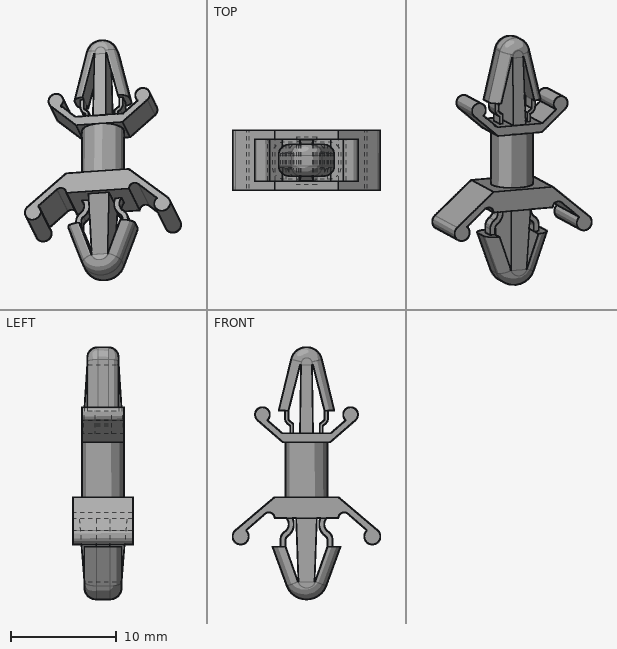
import cadquery as cq
import math


PILLAR_DIAMETER = 4.0
PILLAR_HEIGHT = 5.18
WING_ANGLE = 41.0

CLIP_THICKNESS = 0.86
CLIP_WIDTH = PILLAR_DIAMETER
CLIP_BEAD_RADIUS = 0.71
CLIP_BEAD_X = 4.17
CLIP_BEAD_Z = 7.8
CLIP_ARM_THICKNESS = 0.62
CLIP_TOP = PILLAR_HEIGHT + CLIP_THICKNESS

BASE_THICKNESS = 2.0
BASE_WIDTH = 5.7
BASE_HALF_LENGTH = 3.02
BASE_SPAN = 14.0
BASE_BEAD_RADIUS = 0.77
BASE_BEAD_X = BASE_SPAN / 2 - BASE_BEAD_RADIUS
BASE_BEAD_Z = -3.73
BASE_NOTCH_RADIUS = 0.54

UPPER_HEAD = dict(
    tip=14.2, dome_radius=1.5, depth=3.0, edge_radius=1.0,
    barb_base=8.19, barb_half_width=2.64,
    gap_base_half_width=1.69, gap_top_half_width=0.6, gap_top=12.52,
    blade_root=CLIP_TOP, blade_root_size=(1.26, 3.84), blade_top_size=(1.06, 3.0),
)
LOWER_HEAD = dict(
    tip=9.7, dome_radius=2.0, depth=3.54, edge_radius=1.12,
    barb_base=4.68, barb_half_width=3.23,
    gap_base_half_width=1.98, gap_top_half_width=0.8, gap_top=8.01,
    blade_root=BASE_THICKNESS, blade_root_size=(1.98, 4.5), blade_top_size=(1.54, 3.54),
)

UPPER_LEG_WIDTH = 1.6
UPPER_LEG_OUTER_X = 2.05
UPPER_LEG_FOOT_OUTER_X = 1.55
UPPER_LEG_FOOT_INNER_X = 1.25
UPPER_KNEE_INNER = (7.3, 6.93)
UPPER_KNEE_OUTER_START = 7.5
UPPER_KNEE_OUTER_RADIUS = 0.78
UPPER_KNEE_TURN = 48.0
UPPER_KNEE_OUTER_END = 6.74

LOWER_LEG_WIDTH = 1.3
LOWER_LEG_THICKNESS = 0.5
LOWER_LEG_BULGE = (1.44, -2.57)
LOWER_LEG_END_X = 2.23
LOWER_BULGE_RADIUS = 1.1
LOWER_BEND_RADIUS = 0.74


def both_sides(body):
    """Join a body to its mirror image across the YZ plane."""
    return body.union(body.mirror("YZ"))


def polar(center, radius, degrees):
    """Point in XZ at an angle from +X around a center."""
    turn = math.radians(degrees)
    return center[0] + radius * math.cos(turn), center[1] + radius * math.sin(turn)


def slope_x(point, z):
    """X at height z on the line through a point that falls inward at the wing angle."""
    return point[0] + (z - point[1]) / math.tan(math.radians(WING_ANGLE))


def prism(outline, width):
    """Extrude a closed XZ outline symmetrically along Y."""
    return outline.extrude(width / 2, both=True)


def bead(center, radius, width):
    return prism(cq.Workplane("XZ").center(*center).circle(radius), width)


def make_clip():
    """Upper plate with arms rising to round beads."""
    center = (CLIP_BEAD_X, CLIP_BEAD_Z)
    outward = WING_ANGLE - 90.0
    lower_tangent = polar(center, CLIP_BEAD_RADIUS, outward)
    upper_tangent = polar(lower_tangent, -CLIP_ARM_THICKNESS, outward)
    outline = (
        cq.Workplane("XZ")
        .moveTo(0, PILLAR_HEIGHT)
        .lineTo(slope_x(lower_tangent, PILLAR_HEIGHT), PILLAR_HEIGHT)
        .lineTo(*lower_tangent)
        .lineTo(*upper_tangent)
        .lineTo(slope_x(upper_tangent, CLIP_TOP), CLIP_TOP)
        .lineTo(0, CLIP_TOP)
        .close()
    )
    half = prism(outline, CLIP_WIDTH).union(bead(center, CLIP_BEAD_RADIUS, CLIP_WIDTH))
    return both_sides(half)


def make_base():
    """Lower plate with arms falling to round beads, relieved by a round notch."""
    center = (BASE_BEAD_X, BASE_BEAD_Z)
    notch = (BASE_HALF_LENGTH + BASE_NOTCH_RADIUS, -BASE_THICKNESS)
    normal = 90.0 - WING_ANGLE
    upper_tangent = polar(center, BASE_BEAD_RADIUS, normal)
    notch_tangent = polar(notch, BASE_NOTCH_RADIUS, normal)
    notch_middle = polar(notch, BASE_NOTCH_RADIUS, (180.0 + normal) / 2)
    arm_length = (BASE_BEAD_X - notch[0]) / math.cos(math.radians(WING_ANGLE))
    arm_end = polar(notch_tangent, arm_length, -WING_ANGLE)
    outline = (
        cq.Workplane("XZ")
        .lineTo(BASE_HALF_LENGTH, 0)
        .lineTo(*upper_tangent)
        .lineTo(*arm_end)
        .lineTo(*notch_tangent)
        .threePointArc(notch_middle, (BASE_HALF_LENGTH, -BASE_THICKNESS))
        .lineTo(0, -BASE_THICKNESS)
        .close()
    )
    half = prism(outline, BASE_WIDTH).union(bead(center, BASE_BEAD_RADIUS, BASE_WIDTH))
    return both_sides(half)


def make_head(tip, dome_radius, depth, edge_radius, barb_base, barb_half_width,
              gap_base_half_width, gap_top_half_width, gap_top,
              blade_root, blade_root_size, blade_top_size):
    """Arrow head pointing up: rounded dome, two barbs and a tapered central blade."""
    dome_center = (0, tip - dome_radius)
    rise = dome_center[1] - barb_base
    reach = math.hypot(barb_half_width, rise)
    flank = math.degrees(math.atan2(barb_half_width, rise) - math.asin(dome_radius / reach))
    right = polar(dome_center, dome_radius, flank)
    shell = prism(
        cq.Workplane("XZ")
        .moveTo(-barb_half_width, barb_base)
        .lineTo(barb_half_width, barb_base)
        .lineTo(*right)
        .threePointArc((0, tip), (-right[0], right[1]))
        .close(),
        depth,
    )
    shell = shell.faces("<Y or >Y").edges("not <Z").fillet(edge_radius)
    gap = prism(
        cq.Workplane("XZ")
        .moveTo(-gap_base_half_width, barb_base)
        .lineTo(gap_base_half_width, barb_base)
        .lineTo(gap_top_half_width, gap_top)
        .lineTo(-gap_top_half_width, gap_top)
        .close(),
        depth,
    )
    blade = (
        cq.Workplane("XY", origin=(0, 0, blade_root))
        .rect(*blade_root_size)
        .workplane(offset=gap_top - blade_root)
        .rect(*blade_top_size)
        .loft(ruled=True)
    )
    return shell.cut(gap).union(blade)


def make_upper_legs():
    """Kneed strips joining the clip plate to the upper barbs."""
    barb_base = UPPER_HEAD["barb_base"]
    inner_x = UPPER_HEAD["gap_base_half_width"]
    center = (UPPER_LEG_OUTER_X - UPPER_KNEE_OUTER_RADIUS, UPPER_KNEE_OUTER_START)
    outline = (
        cq.Workplane("XZ")
        .moveTo(inner_x, barb_base)
        .lineTo(inner_x, UPPER_KNEE_INNER[0])
        .lineTo(UPPER_LEG_FOOT_INNER_X, UPPER_KNEE_INNER[1])
        .lineTo(UPPER_LEG_FOOT_INNER_X, CLIP_TOP)
        .lineTo(UPPER_LEG_FOOT_OUTER_X, CLIP_TOP)
        .lineTo(UPPER_LEG_FOOT_OUTER_X, UPPER_KNEE_OUTER_END)
        .lineTo(*polar(center, UPPER_KNEE_OUTER_RADIUS, -UPPER_KNEE_TURN))
        .threePointArc(
            polar(center, UPPER_KNEE_OUTER_RADIUS, -UPPER_KNEE_TURN / 2),
            (UPPER_LEG_OUTER_X, UPPER_KNEE_OUTER_START),
        )
        .lineTo(UPPER_LEG_OUTER_X, barb_base)
        .close()
    )
    return both_sides(prism(outline, UPPER_LEG_WIDTH))


def make_lower_legs():
    """S-shaped strips joining the base plate to the lower barbs."""
    barb_base = -LOWER_HEAD["barb_base"]
    bulge_x, bulge_z = LOWER_LEG_BULGE
    radius_sum = LOWER_BULGE_RADIUS + LOWER_BEND_RADIUS
    turn = math.degrees(math.acos(1 - (LOWER_LEG_END_X - bulge_x) / radius_sum))
    bulge_center = (bulge_x + LOWER_BULGE_RADIUS, bulge_z)
    bend_center = polar(bulge_center, radius_sum, 180.0 + turn)
    half = LOWER_LEG_THICKNESS / 2

    def root_angle(radius):
        return 180.0 - math.degrees(math.asin((-BASE_THICKNESS - bulge_z) / radius))

    inner_bulge = LOWER_BULGE_RADIUS + half
    inner_bend = LOWER_BEND_RADIUS - half
    outer_bulge = LOWER_BULGE_RADIUS - half
    outer_bend = LOWER_BEND_RADIUS + half
    outline = (
        cq.Workplane("XZ")
        .moveTo(*polar(bulge_center, inner_bulge, root_angle(inner_bulge)))
        .threePointArc(
            polar(bulge_center, inner_bulge, 180.0),
            polar(bulge_center, inner_bulge, 180.0 + turn),
        )
        .threePointArc(
            polar(bend_center, inner_bend, turn / 2),
            polar(bend_center, inner_bend, 0),
        )
        .lineTo(LOWER_LEG_END_X - half, barb_base)
        .lineTo(LOWER_LEG_END_X + half, barb_base)
        .lineTo(*polar(bend_center, outer_bend, 0))
        .threePointArc(
            polar(bend_center, outer_bend, turn / 2),
            polar(bend_center, outer_bend, turn),
        )
        .threePointArc(
            polar(bulge_center, outer_bulge, 180.0),
            polar(bulge_center, outer_bulge, root_angle(outer_bulge)),
        )
        .close()
    )
    return both_sides(prism(outline, LOWER_LEG_WIDTH))


pillar = cq.Workplane("XY").circle(PILLAR_DIAMETER / 2).extrude(PILLAR_HEIGHT)
upper_head = make_head(**UPPER_HEAD)
lower_head = make_head(**LOWER_HEAD).mirror("XY")

result = (
    pillar
    .union(make_clip())
    .union(make_base())
    .union(upper_head)
    .union(lower_head)
    .union(make_upper_legs())
    .union(make_lower_legs())
)